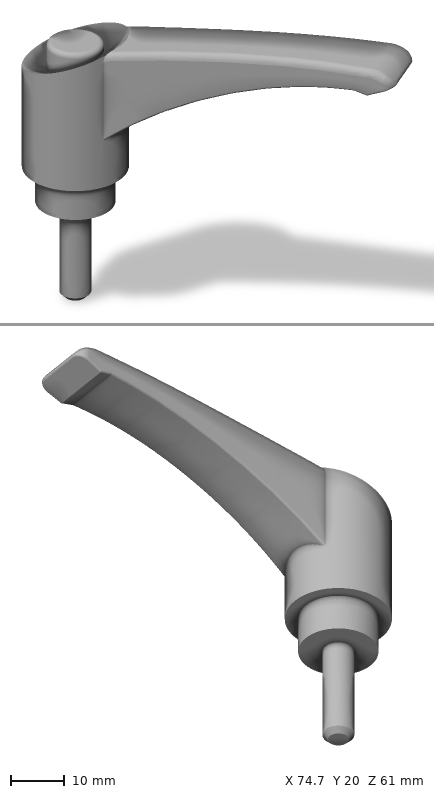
import cadquery as cq

hub_diameter = 20.0
hub_radius = hub_diameter / 2
hub_blank_height = 31.4
collar_diameter = 15.0
collar_height = 7.5
stud_diameter = 6
stud_tip_z = -27.6
stud_chamfer = 1.05
pin_diameter = 10.75
pin_top_z = 26.45
pin_edge_radius = 1.0

hollow_axis_x = -6
hollow_floor_z = 20.2
hollow_mid_radius = 7.9
hollow_mid_z = 22.7
hollow_rim_radius = 17.9
hollow_rim_z = 30.9

arm_tip_x = 74.7 - hub_radius
arm_top_z = 61.0 + stud_tip_z
arm_start_x = 4.5
arm_root_top_z = 27.5
arm_root_bottom_z = 7.1
arm_root_half_width = 6.6
arm_waist_half_width = 5.8
arm_end_half_width = 6.7
arm_waist_x = 31.4
arm_corner_radius = 2.25
arm_top_edge_radius = 1.35
arm_bottom_edge_radius = 0.4
nose_start_x = 59.7
nose_tip_z = 30.9
nose_thickness = 0.5
arm_split_z = nose_tip_z - nose_thickness
nose_mid = (63.2, 32.4)
heel = (59.4, 28.1)
heel_inner = (56.8, 28.7)
arm_top_points = [(22.3, 30.4), (36.8, 32.2)]
arm_top_tangents = [(1, 0.2), (1, 0)]
arm_underside_points = [(45.65, 27.35), (28.1, 21.9), (18.15, 16.95)]


def cylinder(diameter, bottom_z, top_z):
    return cq.Workplane("XY").workplane(offset=bottom_z).circle(diameter / 2).extrude(top_z - bottom_z)


def make_hollow():
    """Bowl that removes everything above the concave hub top."""
    above_hub = hub_blank_height * 2
    bowl_radius = hub_diameter
    profile = (
        cq.Workplane("XZ", origin=(hollow_axis_x, 0, 0))
        .moveTo(0, hollow_floor_z)
        .threePointArc((hollow_mid_radius, hollow_mid_z), (hollow_rim_radius, hollow_rim_z))
        .lineTo(bowl_radius, above_hub)
        .lineTo(0, above_hub)
        .close()
    )
    return profile.revolve(360, (0, 0, 0), (0, 1, 0))


def edges_between(arm, low_z, high_z):
    """Lengthwise edges of the arm whose centres lie in a height band."""
    band = cq.selectors.BoxSelector((0, -hub_radius, low_z), (arm_tip_x + 0.75, hub_radius, high_z))
    return arm.edges(band).edges("not(|Y or |Z)")


def make_arm():
    """Arched side profile trimmed to a waisted plan outline with rounded edges."""
    side = (
        cq.Workplane("XZ", origin=(0, hub_radius, 0))
        .moveTo(arm_start_x, arm_root_top_z)
        .spline([*arm_top_points, (nose_start_x, arm_top_z)], tangents=arm_top_tangents, includeCurrent=True)
        .threePointArc(nose_mid, (arm_tip_x, nose_tip_z))
        .lineTo(arm_tip_x, nose_tip_z - nose_thickness)
        .lineTo(*heel)
        .lineTo(*heel_inner)
        .spline([*arm_underside_points, (arm_start_x, arm_root_bottom_z)], includeCurrent=True)
        .close()
        .extrude(hub_diameter)
    )
    plan = (
        cq.Workplane("XY")
        .moveTo(arm_start_x, -arm_root_half_width)
        .threePointArc((arm_waist_x, -arm_waist_half_width), (arm_tip_x, -arm_end_half_width))
        .lineTo(arm_tip_x, arm_end_half_width)
        .threePointArc((arm_waist_x, arm_waist_half_width), (arm_start_x, arm_root_half_width))
        .close()
        .extrude(hub_blank_height * 2)
        .edges("|Z and >X")
        .fillet(arm_corner_radius)
    )
    arm = side.intersect(plan)
    top_sides = edges_between(arm, arm_split_z, hub_blank_height * 2)
    arm = top_sides.fillet(arm_top_edge_radius)
    bottom_sides = edges_between(arm, 0, arm_split_z)
    arm = bottom_sides.fillet(arm_bottom_edge_radius)
    return arm


hollow = make_hollow()
hub = cylinder(hub_diameter, 0, hub_blank_height).cut(hollow)
collar = cylinder(collar_diameter, -collar_height, 0)
stud = cylinder(stud_diameter, stud_tip_z, 0).faces("<Z").chamfer(stud_chamfer)
pin = cylinder(pin_diameter, 0, pin_top_z).faces(">Z").edges().fillet(pin_edge_radius)
arm = make_arm().cut(cylinder(hub_diameter, 0, hub_blank_height))

result = hub.union(collar).union(stud).union(pin).union(arm)